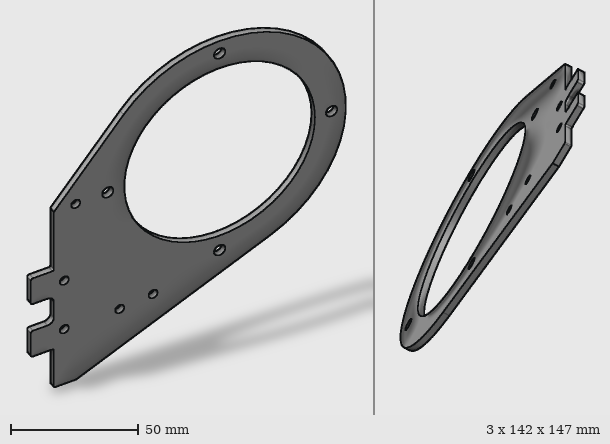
import cadquery as cq
import math

thickness = 3.0
ring_radius = 56.9
bore_radius = 42.9
overall_width = 142.0
overall_height = 147.0

shoulder_reach = 74.7
shoulder_top = 0.0
tab_reach = overall_width - ring_radius
bottom = ring_radius - overall_height
bottom_edge_length = 10.0
bottom_corner_reach = shoulder_reach - bottom_edge_length

tab_height = 13.2
notch_height = 13.7
lower_tab_bottom = bottom + 19.8
lower_tab_top = lower_tab_bottom + tab_height
upper_tab_bottom = lower_tab_top + notch_height
upper_tab_top = upper_tab_bottom + tab_height

tab_tip_radius = 1.0
tab_root_radius = 0.7
notch_radius = 3.0
bottom_corner_radius = 0.5

bolt_circle_radius = 50.4
bolt_hole_diameter = 5.0
bolt_hole_count = 4
small_hole_diameter = 4.0
tab_hole_reach = 70.0
lower_hole_z = -62.0
upper_hole_z = -37.2
small_holes = [
    (64.8, 0.0),
    (tab_hole_reach, upper_hole_z),
    (tab_hole_reach, lower_hole_z),
    (45.0, lower_hole_z),
    (30.0, -60.5),
]


def ring_point(angle):
    """Point (y, z) on the ring's outer circle, angle measured from -Y towards +Z."""
    return (-ring_radius * math.cos(angle), ring_radius * math.sin(angle))


def tangent_angle(reach, z, side):
    """Angle at which a line from an outside corner touches the ring; side is +1 or -1."""
    distance = math.hypot(reach, z)
    return math.atan2(z, reach) + side * math.acos(ring_radius / distance)


def round_corners(plate, reach, heights, radius):
    """Round the plate's through-thickness edges at the given reach and heights."""
    for z in heights:
        corner = cq.selectors.NearestToPointSelector((thickness / 2, -reach, z))
        plate = plate.edges("|X").edges(corner).fillet(radius)
    return plate


def make_plate():
    """Ring outline running tangentially into the straight mounting edge with its tabs."""
    upper_angle = tangent_angle(shoulder_reach, shoulder_top, 1)
    lower_angle = tangent_angle(bottom_corner_reach, bottom, -1)
    edge_points = [
        (shoulder_reach, shoulder_top),
        (shoulder_reach, upper_tab_top),
        (tab_reach, upper_tab_top),
        (tab_reach, upper_tab_bottom),
        (shoulder_reach, upper_tab_bottom),
        (shoulder_reach, lower_tab_top),
        (tab_reach, lower_tab_top),
        (tab_reach, lower_tab_bottom),
        (shoulder_reach, lower_tab_bottom),
        (shoulder_reach, bottom),
        (bottom_corner_reach, bottom),
    ]
    outline = cq.Workplane("YZ").moveTo(*ring_point(upper_angle))
    for reach, z in edge_points:
        outline = outline.lineTo(-reach, z)
    outline = outline.lineTo(*ring_point(lower_angle))
    outline = outline.threePointArc((ring_radius, 0), ring_point(upper_angle))
    plate = outline.close().extrude(thickness)

    tab_edges = (upper_tab_top, upper_tab_bottom, lower_tab_top, lower_tab_bottom)
    plate = round_corners(plate, tab_reach, tab_edges, tab_tip_radius)
    plate = round_corners(plate, shoulder_reach, (upper_tab_top, lower_tab_bottom), tab_root_radius)
    plate = round_corners(plate, shoulder_reach, (upper_tab_bottom, lower_tab_top), notch_radius)
    return round_corners(plate, shoulder_reach, (bottom,), bottom_corner_radius)


def make_holes():
    """Cutters for the central bore, the bolt circle and the small holes."""
    bore = cq.Workplane("YZ").circle(bore_radius).extrude(thickness)
    bolt_holes = (
        cq.Workplane("YZ")
        .polarArray(bolt_circle_radius, 0, 360, bolt_hole_count)
        .circle(bolt_hole_diameter / 2)
        .extrude(thickness)
    )
    mounting_holes = (
        cq.Workplane("YZ")
        .pushPoints([(-reach, z) for reach, z in small_holes])
        .circle(small_hole_diameter / 2)
        .extrude(thickness)
    )
    return bore.add(bolt_holes).add(mounting_holes).combine()


result = make_plate().cut(make_holes())